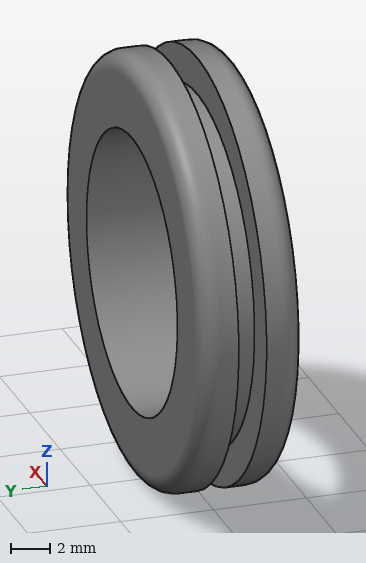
import cadquery as cq

outer_diameter = 23.0
hub_diameter = 19.0
bore_diameter = 15.0
total_width = 5.5
groove_width = 1.5
rim_radius = 1.0

flange_width = (total_width - groove_width) / 2


def disc(diameter, width, start_y):
    """Solid disc around the Y axis, running from start_y toward +Y."""
    plane = cq.Workplane("XZ", origin=(0, start_y, 0))
    return plane.circle(diameter / 2).extrude(-width)


body = disc(hub_diameter, total_width, -total_width / 2)

front_flange = disc(outer_diameter, flange_width, -total_width / 2)
back_flange = disc(outer_diameter, flange_width, groove_width / 2)
body = body.union(front_flange.faces("<Y").edges().fillet(rim_radius))
body = body.union(back_flange.faces(">Y").edges().fillet(rim_radius))

result = body.cut(disc(bore_diameter, total_width, -total_width / 2))